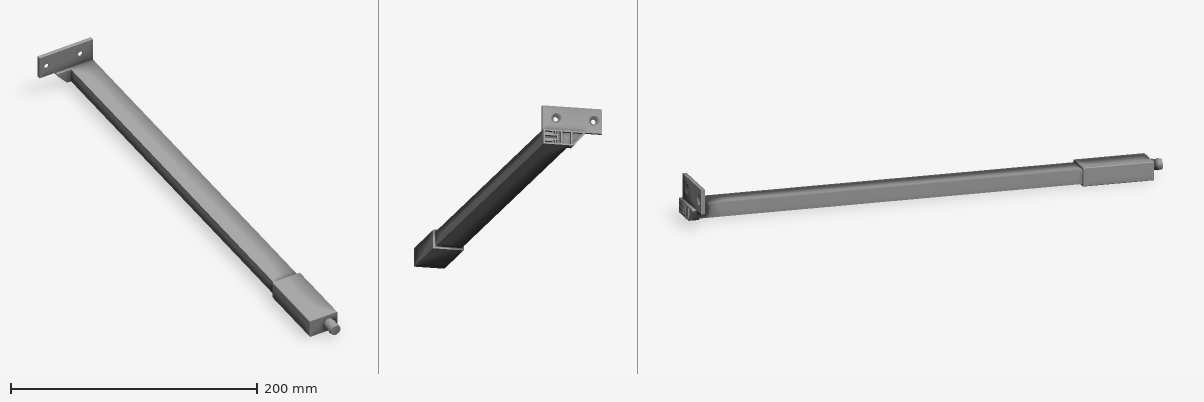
import cadquery as cq
import math

OVERALL_LENGTH = 408.2
OVERALL_WIDTH = 52.3
OVERALL_HEIGHT = 34.5

TUBE_START = 10.2
TUBE_WIDTH = 22.0
TUBE_HEIGHT = 12.2

SLEEVE_START = 336.5
SLEEVE_LENGTH = 60.0
SLEEVE_WIDTH = 26.0
SLEEVE_HEIGHT = 16.0
SLEEVE_EDGE_RADIUS = 1.0

GROMMET_Y = 4.5
GROMMET_CORE_RADIUS = 4.5
RING_RADIUS = 5.0
RING_WIDTH = 2.5
RING_CHAMFER = 0.6
RING_PITCH = 5.0
RING_COUNT = 2
FIRST_RING_GAP = 2.65

HEAD_DEPTH = 9.0
GUSSET_TIP_Y = -25.7
GUSSET_FOOT_Y = -14.5
GUSSET_CORNER_RADIUS = 1.2

WALL = 1.2
GUSSET_WALL = 1.5
POCKET_DEPTH = 3.3
WINDOW_WIDTH = 7.5
SIDE_SLOT_WIDTH = 2.0
SLOT_HEIGHT = 2.5
OUTER_SLOT_LENGTH = 6.5
MIDDLE_SLOT_LENGTH = 10.2
RIB_HEIGHT = 2.5
SLIT_WIDTH = 1.2
SLIT_HEIGHT = 2.5
SLIT_PITCH = 2.0
SLIT_COUNT = 2

PLATE_START = 3.05
PLATE_THICKNESS = 3.3
HOLE_SPACING = 32.0
HOLE_EDGE_DISTANCE = 6.5
HOLE_DIAMETER = 4.0
COUNTERSINK_DIAMETER = 9.0
COUNTERSINK_ANGLE = 90

TUBE_SIDE = TUBE_WIDTH / 2
TUBE_TOP = TUBE_HEIGHT / 2
SLEEVE_END = SLEEVE_START + SLEEVE_LENGTH
PLATE_TOP = OVERALL_HEIGHT - SLEEVE_HEIGHT / 2
PLATE_HEIGHT = PLATE_TOP - TUBE_TOP
PLATE_MIN_Y = SLEEVE_WIDTH / 2 - OVERALL_WIDTH
PLATE_WIDTH = TUBE_SIDE - PLATE_MIN_Y
POCKET_TOP = TUBE_TOP - WALL
GUSSET_POCKET_Y = -TUBE_SIDE - 2 * WALL
WINDOW_Y = GUSSET_POCKET_Y + WALL
SIDE_SLOT_Y = WINDOW_Y + WINDOW_WIDTH + WALL


def bar(x_start, length, width, height):
    """A rectangular bar along X, centred on the tube axis."""
    return cq.Workplane("YZ", origin=(x_start, 0, 0)).rect(width, height).extrude(length)


def disc(x_start, length, radius):
    """A round disc along X on the grommet axis."""
    return cq.Workplane("YZ", origin=(x_start, GROMMET_Y, 0)).circle(radius).extrude(length)


def pocket(y_min, width, z_min, height):
    """A rectangular cutter that sinks into the open face of the head at X = 0."""
    return cq.Workplane("XY").box(POCKET_DEPTH, width, height, centered=False).translate((0, y_min, z_min))


def make_tube():
    return bar(TUBE_START, SLEEVE_START - TUBE_START, TUBE_WIDTH, TUBE_HEIGHT)


def make_sleeve():
    sleeve = bar(SLEEVE_START, SLEEVE_LENGTH, SLEEVE_WIDTH, SLEEVE_HEIGHT)
    return sleeve.edges("|X").fillet(SLEEVE_EDGE_RADIUS)


def make_grommet():
    grommet = disc(SLEEVE_END, OVERALL_LENGTH - SLEEVE_END, GROMMET_CORE_RADIUS)
    for index in range(RING_COUNT):
        ring_start = SLEEVE_END + FIRST_RING_GAP + index * RING_PITCH
        ring = disc(ring_start, RING_WIDTH, RING_RADIUS).edges().chamfer(RING_CHAMFER)
        grommet = grommet.union(ring)
    return grommet


def make_head():
    """The solid head: gusset block, then a flange that closes the end of the tube."""
    block = (
        cq.Workplane("YZ")
        .polyline(
            [
                (TUBE_SIDE, TUBE_TOP),
                (GUSSET_TIP_Y, TUBE_TOP),
                (GUSSET_FOOT_Y, -TUBE_TOP),
                (TUBE_SIDE, -TUBE_TOP),
            ]
        )
        .close()
        .extrude(HEAD_DEPTH)
        .edges("|X and <Y")
        .fillet(GUSSET_CORNER_RADIUS)
    )
    return block.union(bar(HEAD_DEPTH, TUBE_START - HEAD_DEPTH, TUBE_WIDTH, TUBE_HEIGHT))


def make_gusset_pocket():
    """A three-sided pocket just inside the sloping wall of the gusset."""
    slope_run = (GUSSET_FOOT_Y - GUSSET_TIP_Y) / TUBE_HEIGHT
    slope_wall = GUSSET_WALL * math.sqrt(1 + slope_run**2)
    tip_y = GUSSET_TIP_Y + slope_run * WALL + slope_wall
    foot_z = POCKET_TOP - (GUSSET_POCKET_Y - tip_y) / slope_run
    outline = [(GUSSET_POCKET_Y, POCKET_TOP), (tip_y, POCKET_TOP), (GUSSET_POCKET_Y, foot_z)]
    return cq.Workplane("YZ").polyline(outline).close().extrude(POCKET_DEPTH)


def make_upright_pockets():
    """A wide window and a narrow slot beside it, both as tall as the inside of the head."""
    window = pocket(WINDOW_Y, WINDOW_WIDTH, -POCKET_TOP, 2 * POCKET_TOP)
    side_slot = pocket(SIDE_SLOT_Y, SIDE_SLOT_WIDTH, -POCKET_TOP, 2 * POCKET_TOP)
    return [window, side_slot]


def make_level_slots():
    """A long middle slot, and a shorter, thinner slot above and below it."""
    slot_end = TUBE_SIDE - WALL
    rib_top = SLOT_HEIGHT / 2 + RIB_HEIGHT
    thin_height = POCKET_TOP - rib_top
    return [
        pocket(slot_end - MIDDLE_SLOT_LENGTH, MIDDLE_SLOT_LENGTH, -SLOT_HEIGHT / 2, SLOT_HEIGHT),
        pocket(slot_end - OUTER_SLOT_LENGTH, OUTER_SLOT_LENGTH, rib_top, thin_height),
        pocket(slot_end - OUTER_SLOT_LENGTH, OUTER_SLOT_LENGTH, -POCKET_TOP, thin_height),
    ]


def make_slits():
    """Short upright slits above and below the inner end of the middle slot."""
    slits = []
    for index in range(SLIT_COUNT):
        slit_y = TUBE_SIDE - WALL - OUTER_SLOT_LENGTH - SLIT_PITCH * (index + 1)
        for z_min in (POCKET_TOP - SLIT_HEIGHT, -POCKET_TOP):
            slits.append(pocket(slit_y, SLIT_WIDTH, z_min, SLIT_HEIGHT))
    return slits


def make_plate():
    plate = (
        cq.Workplane("XY")
        .box(PLATE_THICKNESS, PLATE_WIDTH, PLATE_HEIGHT, centered=False)
        .translate((PLATE_START, PLATE_MIN_Y, TUBE_TOP))
    )
    first_hole_y = PLATE_MIN_Y + HOLE_EDGE_DISTANCE
    hole_z = TUBE_TOP + PLATE_HEIGHT / 2
    hole_points = [(-first_hole_y, hole_z), (-first_hole_y - HOLE_SPACING, hole_z)]
    return (
        plate.faces("<X")
        .workplane(origin=(PLATE_START, 0, 0))
        .pushPoints(hole_points)
        .cskHole(HOLE_DIAMETER, COUNTERSINK_DIAMETER, COUNTERSINK_ANGLE)
    )


def make_bracket():
    head = make_head()
    for cutter in [make_gusset_pocket(), *make_upright_pockets(), *make_level_slots(), *make_slits()]:
        head = head.cut(cutter)
    return head.union(make_plate())


bracket = make_bracket()
tube = make_tube()
sleeve = make_sleeve()
grommet = make_grommet()

result = cq.Compound.makeCompound([bracket.val(), tube.val(), sleeve.val(), grommet.val()])